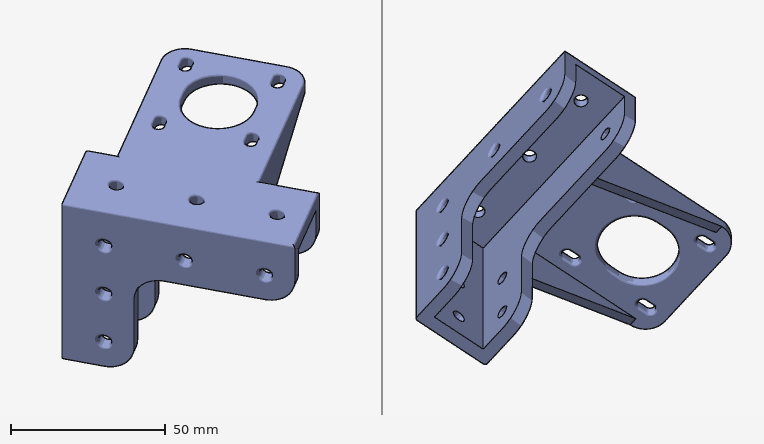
import cadquery as cq


length_x = 78.5
length_y = 88.0
height = 64.5

wall = 4.5
channel = 20.0
leg_width = wall + channel
block_depth = channel + 2 * wall
leg_round = 10.0
edge_round = 1.0

screw_diameter = 4.5
channel_center = wall + channel / 2
screw_pitch_z = channel
screw_pitch_x = (length_x - channel / 2 - channel_center) / 2

arm_width = 48.05
arm_center_x = 34.5
arm_left = arm_center_x - arm_width / 2
arm_right = arm_center_x + arm_width / 2
arm_corner_round = 8.0
gusset_thickness = 3.0

motor_center_y = length_y - 23.5
motor_screw_pitch = 31.0
motor_screw_width = 3.6
motor_bore = 24.0
tension_travel = 3.0


def make_block():
    """L-shaped block with its inner L channel open at the free ends and inner sides."""
    block = (
        cq.Workplane("XZ")
        .polyline([
            (0, 0),
            (length_x, 0),
            (length_x, -leg_width),
            (leg_width, -leg_width),
            (leg_width, -height),
            (0, -height),
        ])
        .close()
        .extrude(-block_depth)
    )
    inner_corner = cq.selectors.NearestToPointSelector((leg_width, block_depth / 2, -leg_width))
    leg_end = cq.selectors.NearestToPointSelector((leg_width, block_depth / 2, -height))
    beam_end = cq.selectors.NearestToPointSelector((length_x, block_depth / 2, -leg_width))
    for corner in (inner_corner, leg_end, beam_end):
        block = block.edges("|Y").edges(corner).fillet(leg_round)
    cavity = cq.Workplane("XY").box(length_x, channel, height, centered=False)
    return block.cut(cavity.translate((wall, wall, -wall - height)))


def make_arm():
    """Plate with rounded outer corners and a tapered gusset along each side."""
    arm_length = length_y - block_depth
    plate = (
        cq.Workplane("XY")
        .box(arm_width, arm_length, wall, centered=False)
        .translate((arm_left, block_depth, -wall))
        .edges("|Z and >Y")
        .fillet(arm_corner_round)
    )
    for left in (arm_left, arm_right - gusset_thickness):
        gusset = (
            cq.Workplane("YZ", origin=(left, 0, 0))
            .polyline([
                (block_depth, 0),
                (length_y - arm_corner_round, 0),
                (length_y - arm_corner_round, -wall),
                (block_depth, -leg_width),
            ])
            .close()
            .extrude(gusset_thickness)
        )
        plate = plate.union(gusset)
    return plate


def drill(body, center, direction, depth):
    """Cut a round screw hole of the given depth from an outer face."""
    hole = cq.Solid.makeCylinder(screw_diameter / 2, depth, cq.Vector(*center), cq.Vector(*direction))
    return body.cut(cq.Workplane(hole))


def cut_screw_holes(body):
    """Rows of screw holes in the top plate, the end wall and the side walls."""
    columns = [channel_center + i * screw_pitch_x for i in range(3)]
    rows = [-channel_center - i * screw_pitch_z for i in range(3)]
    for x in columns:
        body = drill(body, (x, channel_center, 0), (0, 0, -1), wall)
    for z in rows:
        body = drill(body, (0, channel_center, z), (1, 0, 0), wall)

    for x in columns:
        depth = wall if arm_left < x < arm_right else block_depth
        body = drill(body, (x, 0, -channel_center), (0, 1, 0), depth)
    for z in rows[1:]:
        body = drill(body, (channel_center, 0, z), (0, 1, 0), block_depth)
    return body


def cut_motor_holes(body):
    """Central bore and four screw slots through the arm plate."""
    plate = cq.Workplane("XY", origin=(arm_center_x, motor_center_y, 0))
    bore = plate.slot2D(motor_bore + tension_travel, motor_bore, 90).extrude(-wall)
    slots = (
        plate.rect(motor_screw_pitch, motor_screw_pitch, forConstruction=True)
        .vertices()
        .slot2D(motor_screw_width + tension_travel, motor_screw_width, 90)
        .extrude(-wall)
    )
    return body.cut(bore).cut(slots)


def round_outer_edges(body):
    """Round the top face, the end wall's upright edges and the hole mouths."""
    edges = body.faces(">Z").edges().vals()
    edges += body.faces("<X").edges("|Z").vals()
    for side in ("<X", "<Y"):
        for mouth in body.faces(side).val().innerWires():
            edges += mouth.Edges()

    underside = body.faces(cq.selectors.BoxSelector(
        (arm_left, block_depth, -wall - edge_round),
        (arm_right, length_y, -wall + edge_round),
    )).faces("<Z").val()
    for mouth in underside.innerWires():
        edges += mouth.Edges()
    return body.newObject(edges).fillet(edge_round)


bracket = make_block().union(make_arm())
bracket = cut_screw_holes(bracket)
bracket = cut_motor_holes(bracket)
result = round_outer_edges(bracket)